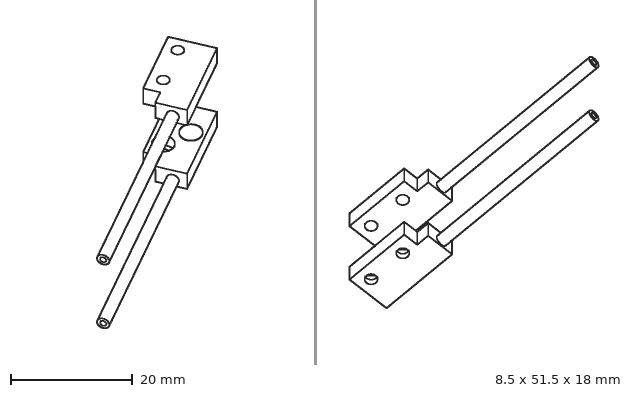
import cadquery as cq

overall_length = 51.5
overall_height = 18.0

block_width = 8.5
block_length = 15.5
block_height = 3.5
notch_width = 3.0
notch_length = 2.6

hole_diameter = 2.1
hole_inset = 2.5
hole_pitch = 7.45
counterbore_diameter = 3.8
counterbore_depth = 2.2

recess_diameter = 3.9
recess_depth = 0.1
recess_x = 5.95
recess_from_back = 5.95

cable_diameter = 2.15
cable_bore_diameter = 1.1
cable_x = 6.0
cable_z = 1.45
cable_length = overall_length - block_length

upper_sensor_z = overall_height - block_height
hole_centers = [(hole_inset, -hole_inset), (hole_inset, -hole_inset - hole_pitch)]


def make_block():
    """Rectangular block with its front left corner notched out."""
    block = cq.Workplane("XY").box(block_width, block_length, block_height, centered=False)
    notch = cq.Workplane("XY").box(notch_width, notch_length, block_height, centered=False)
    return block.cut(notch).translate((0, -block_length, 0))


def make_cable():
    """Hollow cable running forward from the front face of the block."""
    return (
        cq.Workplane("XZ", origin=(cable_x, -block_length, cable_z))
        .circle(cable_diameter / 2)
        .circle(cable_bore_diameter / 2)
        .extrude(cable_length)
    )


def vertical_cutters(centers, diameter, depth):
    """Cylinders reaching down from the top of the block."""
    return (
        cq.Workplane("XY", origin=(0, 0, block_height))
        .pushPoints(centers)
        .circle(diameter / 2)
        .extrude(-depth)
    )


def make_plain_sensor():
    """Block with its cable and two plain through holes."""
    holes = vertical_cutters(hole_centers, hole_diameter, block_height)
    return make_block().union(make_cable()).cut(holes)


def make_counterbored_sensor():
    """Plain sensor with counterbored holes and a round recess on top."""
    counterbores = vertical_cutters(hole_centers, counterbore_diameter, counterbore_depth)
    recess = vertical_cutters([(recess_x, -recess_from_back)], recess_diameter, recess_depth)
    return make_plain_sensor().cut(counterbores).cut(recess)


lower_sensor = make_counterbored_sensor()
upper_sensor = make_plain_sensor().translate((0, 0, upper_sensor_z))

result = cq.Compound.makeCompound([lower_sensor.val(), upper_sensor.val()])